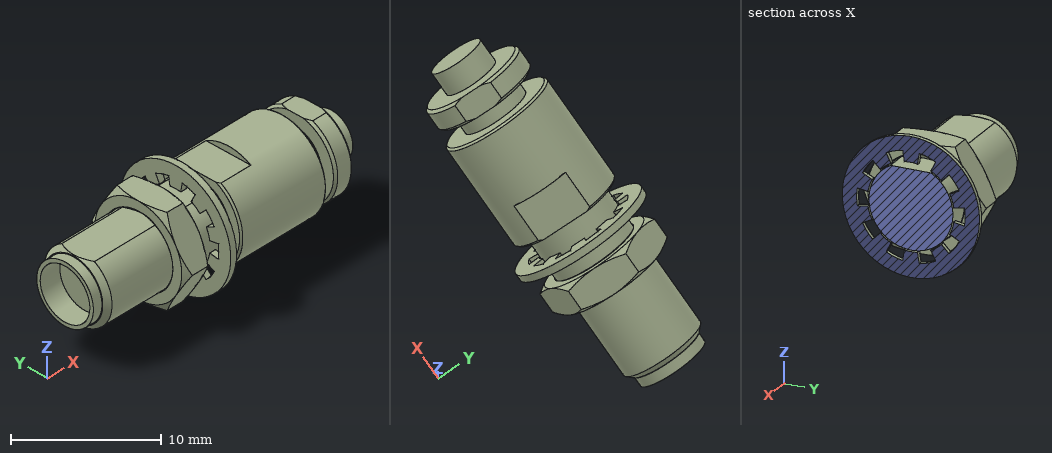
import cadquery as cq
import math

LENGTH = 25.65
COLLAR_END = 0.82
THREAD_CHAMFER_END = 1.25
NUT_START = 7.05
NUT_LENGTH = 2.23
WASHER_START = 10.62
WASHER_THICKNESS = 0.56
BARREL_START = 12.7
BARREL_END = 20.95
BARREL_FLAT_END = 15.72
GLAND_START = 22.14
GLAND_END = 23.85

COLLAR_RADIUS = 2.62
BORE_RADIUS = 2.28
BORE_DEPTH = 1.9
THREAD_RADIUS = 3.13
THREAD_FLAT_HEIGHT = 2.75
BARREL_RADIUS = 4.08
BARREL_FLAT_HEIGHT = 3.51
BARREL_CHAMFER = 0.15
NECK_RADIUS = 2.44
GLAND_RADIUS = 3.75
GLAND_FLAT_HEIGHT = 3.45
GLAND_CHAMFER = 0.2
TAIL_RADIUS = 1.98
THREAD_CHAMFER_RADIUS = THREAD_RADIUS - (THREAD_CHAMFER_END - COLLAR_END)

NUT_SIDES = 6
NUT_ACROSS_FLATS = 8.0
NUT_ACROSS_CORNERS = NUT_ACROSS_FLATS / math.cos(math.pi / NUT_SIDES)
NUT_BORE_RADIUS = 2.75
NUT_COUNTERSINK_RADIUS = 3.18
NUT_CORNER_ANGLE = 30.0

WASHER_RADIUS = 5.1
TOOTH_TIP_RADIUS = 3.2
SLOT_RADIUS = 4.0
TOOTH_COUNT = 10
TOOTH_PITCH = 360.0 / TOOTH_COUNT
SLOT_ANGLE = TOOTH_PITCH / 2


def cylinder(start, end, radius):
    """Cylinder on the X axis between two stations."""
    return cq.Workplane("YZ", origin=(start, 0, 0)).circle(radius).extrude(end - start)


def cone(start, end, start_radius, end_radius):
    """Truncated cone on the X axis between two stations."""
    profile = [(start, 0), (end, 0), (end, end_radius), (start, start_radius)]
    return cq.Workplane("XY").polyline(profile).close().revolve(360, (0, 0, 0), (1, 0, 0))


def block_above(start, end, height):
    """Block that removes everything above a flat at the given height."""
    side = 2 * WASHER_RADIUS
    return cq.Workplane("XY", origin=((start + end) / 2, 0, height)).box(
        end - start, side, side, centered=(True, True, False)
    )


def cut_flat_pair(body, start, end, height):
    """Cut matching flats on the top and bottom of a body."""
    upper = block_above(start, end, height)
    return body.cut(upper).cut(upper.rotate((0, 0, 0), (1, 0, 0), 180))


def make_threaded_shank():
    """Front tube with a flat along its top and a round collar at the open tip."""
    shank = cone(COLLAR_END, THREAD_CHAMFER_END, THREAD_CHAMFER_RADIUS, THREAD_RADIUS)
    shank = shank.union(cylinder(THREAD_CHAMFER_END, BARREL_START, THREAD_RADIUS))
    shank = shank.cut(block_above(COLLAR_END, BARREL_START, THREAD_FLAT_HEIGHT))
    return shank.union(cylinder(0, COLLAR_END, COLLAR_RADIUS))


def make_barrel():
    """Main barrel with a pair of wrench flats at its front end."""
    barrel = cylinder(BARREL_START, BARREL_END, BARREL_RADIUS).edges("%CIRCLE").chamfer(BARREL_CHAMFER)
    return cut_flat_pair(barrel, BARREL_START, BARREL_FLAT_END, BARREL_FLAT_HEIGHT)


def make_gland():
    """Clamp collar with a pair of flats across its full length."""
    gland = cylinder(GLAND_START, GLAND_END, GLAND_RADIUS).edges("%CIRCLE").chamfer(GLAND_CHAMFER)
    return cut_flat_pair(gland, GLAND_START, GLAND_END, GLAND_FLAT_HEIGHT)


def make_connector():
    """Connector body: shank, barrel, neck, clamp collar and tail, with a blind bore at the tip."""
    connector = make_threaded_shank().union(make_barrel())
    connector = connector.union(cylinder(BARREL_END, GLAND_START, NECK_RADIUS))
    connector = connector.union(make_gland())
    connector = connector.union(cylinder(GLAND_END, LENGTH, TAIL_RADIUS))
    return connector.cut(cylinder(0, BORE_DEPTH, BORE_RADIUS))


def make_nut(shank):
    """Hex nut with coned corners; its hole closely fits the flatted shank."""
    nut_end = NUT_START + NUT_LENGTH
    face_radius = NUT_ACROSS_FLATS / 2
    cone_rise = NUT_LENGTH / 2 / math.tan(math.radians(NUT_CORNER_ANGLE))
    middle = NUT_START + NUT_LENGTH / 2
    nut = (
        cq.Workplane("YZ", origin=(NUT_START, 0, 0))
        .polygon(NUT_SIDES, NUT_ACROSS_CORNERS)
        .extrude(NUT_LENGTH)
    )
    envelope = cone(NUT_START, middle, face_radius, face_radius + cone_rise)
    envelope = envelope.union(cone(middle, nut_end, face_radius + cone_rise, face_radius))
    countersink = NUT_COUNTERSINK_RADIUS - NUT_BORE_RADIUS
    nut = nut.intersect(envelope).cut(cylinder(NUT_START, nut_end, NUT_BORE_RADIUS))
    nut = nut.cut(cone(NUT_START, NUT_START + countersink, NUT_COUNTERSINK_RADIUS, NUT_BORE_RADIUS))
    nut = nut.cut(cone(nut_end - countersink, nut_end, NUT_BORE_RADIUS, NUT_COUNTERSINK_RADIUS))
    return nut.cut(shank)


def make_lock_washer():
    """Flat ring with evenly spaced inner teeth, one slot centred on the -Y side."""
    washer = cylinder(WASHER_START, WASHER_START + WASHER_THICKNESS, WASHER_RADIUS)
    washer = washer.cut(cylinder(WASHER_START, WASHER_START + WASHER_THICKNESS, TOOTH_TIP_RADIUS))
    half_angle = math.radians(SLOT_ANGLE / 2)
    corner_y = -SLOT_RADIUS * math.cos(half_angle)
    corner_z = SLOT_RADIUS * math.sin(half_angle)
    slot = (
        cq.Workplane("YZ", origin=(WASHER_START, 0, 0))
        .lineTo(corner_y, corner_z)
        .threePointArc((-SLOT_RADIUS, 0), (corner_y, -corner_z))
        .close()
        .extrude(WASHER_THICKNESS)
    )
    for index in range(TOOTH_COUNT):
        washer = washer.cut(slot.rotate((0, 0, 0), (1, 0, 0), index * TOOTH_PITCH))
    return washer


connector = make_connector()
nut = make_nut(make_threaded_shank())
lock_washer = make_lock_washer()

result = cq.Compound.makeCompound(
    [connector.solids().val(), nut.solids().val(), lock_washer.solids().val()]
)